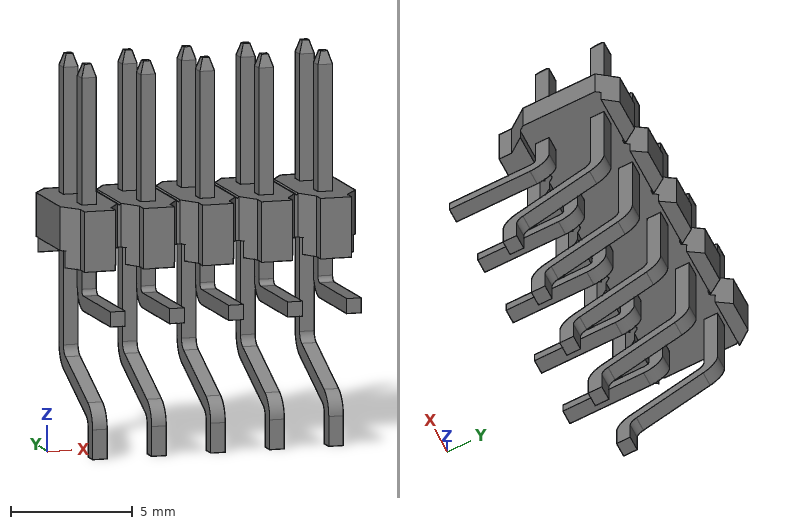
import cadquery as cq
import math


cell_count = 5
total_height = 16.21
body_length = 12.7
pitch = body_length / cell_count
cell_centers = [(i - (cell_count - 1) / 2) * pitch for i in range(cell_count)]

body_bottom = 7.85
body_top = 10.37
recess_top = 8.55
recess_half_depth = 1.86
core_half_depth = 1.67
shoulder_half_depth = 2.5
nose_front = 3.08
nose_half_width = 0.66
groove_width = 0.15
groove_depth = 0.073

pin_width = 0.63
tip_height = 0.53
tip_width = 0.29
shaft_top = total_height - tip_height
row_y = pitch / 2

terminal_top = 6.61
terminal_end = 5.56
terminal_inner_radius = 0.25

foot_y = -(nose_front - pin_width / 2)
crank_slope = math.radians(24)
crank_upper_corner = 3.57
crank_inner_radius = 0.49


def prism(points):
    """Extrude a plan outline over the full body height."""
    return (
        cq.Workplane("XY")
        .workplane(offset=body_bottom)
        .polyline(points)
        .close()
        .extrude(body_top - body_bottom)
    )


def cell_outline(index):
    """Chamfered plan outline of one cell; the end cells reach out to the body ends."""
    x = cell_centers[index]
    inner_edge = (pitch - groove_width) / 2
    left = pitch / 2 if index == 0 else inner_edge
    right = pitch / 2 if index == cell_count - 1 else inner_edge
    return [
        (x - left, core_half_depth),
        (x - nose_half_width, shoulder_half_depth),
        (x + nose_half_width, shoulder_half_depth),
        (x + right, core_half_depth),
        (x + right, -core_half_depth),
        (x + nose_half_width, -shoulder_half_depth),
        (x + nose_half_width, -nose_front),
        (x - nose_half_width, -nose_front),
        (x - nose_half_width, -shoulder_half_depth),
        (x - left, -core_half_depth),
    ]


def make_body():
    """Core bar joined to the cells, with V-grooves on top and a recess underneath."""
    body = prism([
        (-body_length / 2, -core_half_depth),
        (body_length / 2, -core_half_depth),
        (body_length / 2, core_half_depth),
        (-body_length / 2, core_half_depth),
    ])
    for index in range(cell_count):
        body = body.union(prism(cell_outline(index)))

    for x in cell_centers[:-1]:
        joint_x = x + pitch / 2
        groove = (
            cq.Workplane("XZ", origin=(joint_x, core_half_depth, body_top))
            .polyline([(-groove_width / 2, 0), (groove_width / 2, 0), (0, -groove_depth)])
            .close()
            .extrude(2 * core_half_depth)
        )
        body = body.cut(groove)

    recess = cq.Workplane("XY", origin=(0, 0, body_bottom)).box(
        body_length, 2 * recess_half_depth, recess_top - body_bottom, centered=(True, True, False)
    )
    return body.cut(recess)


def make_pin(y, lower_corners, inner_radius):
    """Square pin at X = 0 running down from its pointed tip through rounded bends."""
    corners = [cq.Vector(0, y, shaft_top)]
    corners += [cq.Vector(0, corner_y, corner_z) for corner_y, corner_z in lower_corners]
    path = cq.Wire.makePolygon(corners).fillet(inner_radius + pin_width / 2)
    shaft = (
        cq.Workplane("XY", origin=(0, y, shaft_top))
        .rect(pin_width, pin_width)
        .sweep(cq.Workplane(path))
    )
    tip = (
        cq.Workplane("XY", origin=(0, y, shaft_top))
        .rect(pin_width, pin_width)
        .workplane(offset=tip_height)
        .rect(tip_width, tip_width)
        .loft()
    )
    return shaft.union(tip)


def make_front_pin():
    terminal_z = terminal_top - pin_width / 2
    return make_pin(
        -row_y, [(-row_y, terminal_z), (-terminal_end, terminal_z)], terminal_inner_radius
    )


def make_back_pin():
    crank_lower_corner = crank_upper_corner - (row_y - foot_y) * math.tan(crank_slope)
    return make_pin(
        row_y,
        [(row_y, crank_upper_corner), (foot_y, crank_lower_corner), (foot_y, 0)],
        crank_inner_radius,
    )


result = make_body()
for pin in (make_front_pin(), make_back_pin()):
    for x in cell_centers:
        result = result.union(pin.translate((x, 0, 0)))